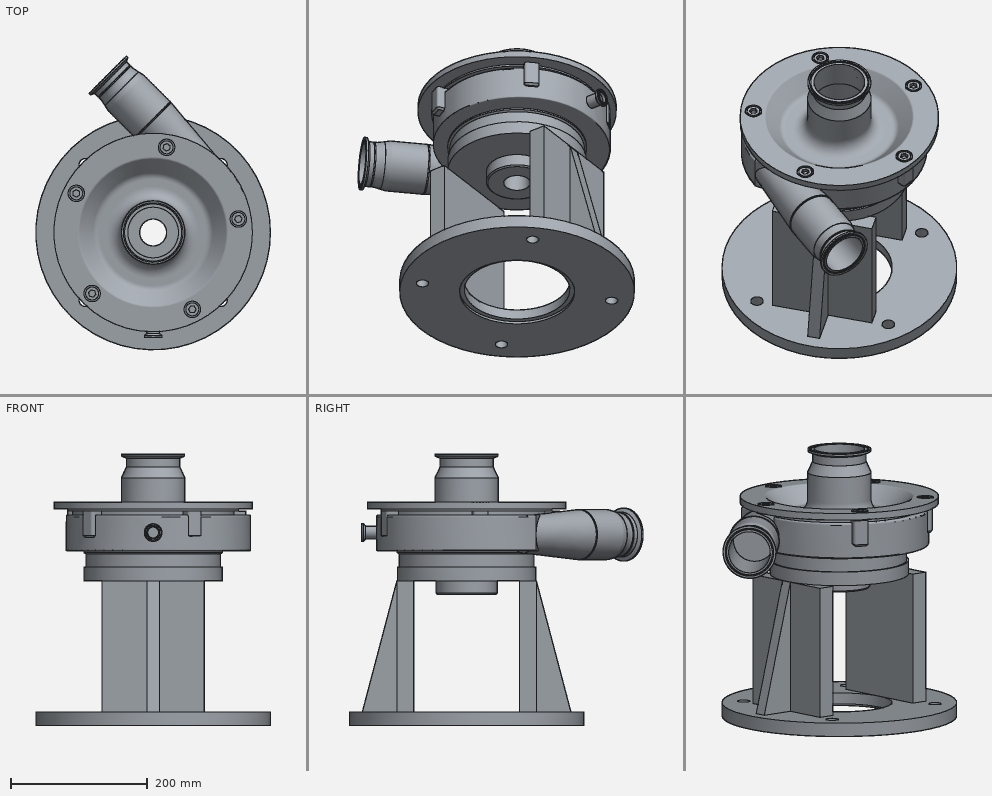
import cadquery as cq
import math

BASE_RADIUS = 171.5
BASE_THICKNESS = 20.0
BASE_OPENING_RADIUS = 77.0
BASE_RECESS_RADIUS = 84.0
BASE_RECESS_DEPTH = 4.0
BASE_HOLE_DIAMETER = 18.0
BASE_HOLE_CIRCLE_RADIUS = 140.0
BASE_HOLE_COUNT = 4

LEG_TOP_Z = 211.5
LEG_WIDTH = 150.0
LEG_INNER_Y = BASE_OPENING_RADIUS
LEG_OUTER_Y = 102.0
RIB_WIDTH = 18.0
RIB_FOOT_Y = 152.5

SUPPORT_RING_RADIUS = 101.3
SUPPORT_RING_HEIGHT = 20.0
HOUSING_RADIUS = 98.5
SHOULDER_RADIUS = 101.5
SHOULDER_HEIGHT = 2.5
SHOULDER_TAPER = 2.0
SEAL_HUB_RADIUS = 44.8
SEAL_HUB_DROP = 20.0
SEAL_HUB_CHAMFER = 2.0

VOLUTE_START = (90.0, 121.0)
VOLUTE_LEFT = (180.0, 127.0)
VOLUTE_BOTTOM = (270.0, 131.5)
VOLUTE_RIGHT = (345.0, 141.2)
VOLUTE_END = (405.0, 143.5)
CASING_BOTTOM_Z = 255.3
CASING_TOP_Z = 308.0
CASING_TOP_FILLET = 3.0
CASING_BOTTOM_FILLET = 1.5

COVER_RADIUS = 145.0
COVER_THICKNESS = 10.0
COVER_TOP_Z = 326.5
COVER_BOTTOM_Z = COVER_TOP_Z - COVER_THICKNESS
COVER_STEP_RADIUS = 125.0
COVER_STEP_THICKNESS = 3.0
COVER_STEP_Z = COVER_BOTTOM_Z - COVER_STEP_THICKNESS
COVER_SPIGOT_RADIUS = 118.0
DISH_RIM_RADIUS = 108.3
DISH_DEPTH = 25.0
DISH_RIM_FILLET = 4.0
DISH_FLOOR_FILLET = 12.0
HUB_ROOT_FILLET = 20.0

SCREW_COUNT = 5
SCREW_CIRCLE_RADIUS = 126.0
SCREW_START_ANGLE = 9.0
COUNTERBORE_DIAMETER = 24.0
SCREW_HEAD_DIAMETER = 19.0
SCREW_HEAD_RECESS = 3.0
HEX_SOCKET_ACROSS_CORNERS = 11.0
HEX_SOCKET_DEPTH = 5.0
LUG_WIDTH = 22.0
LUG_INNER_RADIUS = 110.0
LUG_OUTER_RADIUS = 136.0
LUG_BOTTOM_Z = 275.0
LUG_CORNER_FILLET = 4.0
LUG_BOTTOM_CHAMFER = 3.0

TOP_Z = 396.5
HUB_RADIUS = 46.5
HUB_TAPER_START_Z = 362.0
INLET_NECK_START_Z = 378.0
INLET_NECK_RADIUS = 39.0
INLET_BORE_RADIUS = 37.0
INLET_BORE_END_Z = 357.0
INLET_CHAMBER_RADIUS = 42.5
INLET_FLOOR_Z = 262.0
SHAFT_HOLE_RADIUS = 19.5
INLET_FERRULE_RADIUS = 46.0
INLET_GASKET_RADIUS = 42.6

OUTLET_Z = 279.0
OUTLET_AXIS_OFFSET = 116.1
OUTLET_LENGTH = 209.9
OUTLET_ANGLE = 135.0
OUTLET_ROOT_RADIUS = 27.0
OUTLET_PIPE_RADIUS = 36.8
OUTLET_PIPE_START = 115.0
OUTLET_PIPE_END = 172.0
OUTLET_NECK_START = 190.0
OUTLET_NECK_RADIUS = 33.0
OUTLET_GROOVE_WIDTH = 2.0
OUTLET_GROOVE_DEPTH = 0.5
OUTLET_GROOVES = [(115.5, OUTLET_PIPE_RADIUS), (181.0, 35.0), (195.0, OUTLET_NECK_RADIUS)]
OUTLET_BORE_RADIUS = 30.5
OUTLET_FERRULE_RADIUS = 38.8
OUTLET_GASKET_RADIUS = 34.5

PORT_Z = 282.0
PORT_END_Y = -153.5
PORT_NECK_RADIUS = 9.5
PORT_BORE_RADIUS = 8.0
PORT_FERRULE_RADIUS = 13.0
PORT_GASKET_RADIUS = 10.5
PORT_ROOT_Y = -120.0
PORT_LENGTH = PORT_ROOT_Y - PORT_END_Y

FERRULE_RIM = 3.0
FERRULE_CONE = 3.0
GASKET_GROOVE_WIDTH = 1.8
GASKET_GROOVE_DEPTH = 1.0


def disc(radius, bottom_z, top_z):
    """Upright cylinder between two heights."""
    return (
        cq.Workplane("XY", origin=(0, 0, bottom_z))
        .circle(radius)
        .extrude(top_z - bottom_z)
    )


def revolve_about_z(points):
    """Turn an (r, z) outline about the Z axis."""
    return cq.Workplane("XZ").polyline(points).close().revolve(360, (0, 0), (0, 1))


def ferrule_outline(neck_radius, rim_radius, end):
    """Outer (r, axial) points of a clamp ferrule whose rim face is at end."""
    cone_top = end - FERRULE_RIM
    return [
        (neck_radius, cone_top - FERRULE_CONE),
        (rim_radius, cone_top),
        (rim_radius, end),
        (0, end),
    ]


def gasket_groove(radius, end):
    """Ring cut into the rim face of a ferrule that ends at the given height."""
    bottom = end - GASKET_GROOVE_DEPTH
    outer = disc(radius + GASKET_GROOVE_WIDTH / 2, bottom, end)
    return outer.cut(disc(radius - GASKET_GROOVE_WIDTH / 2, bottom, end))


def make_base():
    base = disc(BASE_RADIUS, 0, BASE_THICKNESS)
    base = base.cut(disc(BASE_OPENING_RADIUS, 0, BASE_THICKNESS))
    base = base.cut(disc(BASE_RECESS_RADIUS, 0, BASE_RECESS_DEPTH))
    return (
        base.faces(">Z").workplane(origin=(0, 0, BASE_THICKNESS))
        .polarArray(BASE_HOLE_CIRCLE_RADIUS, 45, 360, BASE_HOLE_COUNT)
        .hole(BASE_HOLE_DIAMETER)
    )


def make_legs():
    plate = cq.Workplane("XY").box(
        LEG_WIDTH,
        LEG_OUTER_Y - LEG_INNER_Y,
        LEG_TOP_Z - BASE_THICKNESS,
        centered=(True, False, False),
    ).translate((0, LEG_INNER_Y, BASE_THICKNESS))
    rib = (
        cq.Workplane("YZ")
        .polyline([
            (LEG_OUTER_Y, BASE_THICKNESS),
            (RIB_FOOT_Y, BASE_THICKNESS),
            (LEG_OUTER_Y, LEG_TOP_Z),
        ])
        .close()
        .extrude(RIB_WIDTH / 2, both=True)
    )
    leg = plate.union(rib)
    return leg.union(leg.mirror("XZ"))


def make_housing():
    ring_top = LEG_TOP_Z + SUPPORT_RING_HEIGHT
    ring = disc(SUPPORT_RING_RADIUS, LEG_TOP_Z, ring_top)
    neck = disc(HOUSING_RADIUS, ring_top, CASING_BOTTOM_Z)
    shoulder_z = CASING_BOTTOM_Z - SHOULDER_HEIGHT
    shoulder = revolve_about_z([
        (0, shoulder_z - SHOULDER_TAPER),
        (HOUSING_RADIUS, shoulder_z - SHOULDER_TAPER),
        (SHOULDER_RADIUS, shoulder_z),
        (SHOULDER_RADIUS, CASING_BOTTOM_Z),
        (0, CASING_BOTTOM_Z),
    ])
    seal_hub = disc(SEAL_HUB_RADIUS, LEG_TOP_Z - SEAL_HUB_DROP, LEG_TOP_Z)
    seal_hub = seal_hub.faces("<Z").chamfer(SEAL_HUB_CHAMFER)
    return ring.union(neck).union(shoulder).union(seal_hub)


def polar_point(station):
    """Cartesian point of an (angle in degrees, radius) pair."""
    angle, radius = station
    return (radius * math.cos(math.radians(angle)), radius * math.sin(math.radians(angle)))


def make_casing():
    """Spiral casing, closed by a straight cut behind the outlet pipe."""
    casing = (
        cq.Workplane("XY", origin=(0, 0, CASING_BOTTOM_Z))
        .moveTo(*polar_point(VOLUTE_START))
        .threePointArc(polar_point(VOLUTE_LEFT), polar_point(VOLUTE_BOTTOM))
        .threePointArc(polar_point(VOLUTE_RIGHT), polar_point(VOLUTE_END))
        .close()
        .extrude(CASING_TOP_Z - CASING_BOTTOM_Z)
    )
    casing = casing.faces(">Z").edges().fillet(CASING_TOP_FILLET)
    return casing.faces("<Z").edges().fillet(CASING_BOTTOM_FILLET)


def make_cover():
    """Flat flange with a 45-degree dish sunk around the inlet hub."""
    flange = disc(COVER_RADIUS, COVER_BOTTOM_Z, COVER_TOP_Z)
    step = disc(COVER_STEP_RADIUS, COVER_STEP_Z, COVER_BOTTOM_Z)
    spigot = disc(COVER_SPIGOT_RADIUS, CASING_TOP_Z, COVER_STEP_Z)
    return flange.union(step).union(spigot)


def make_dish():
    """Ring-shaped volume removed from the cover, with rounded rim, floor and hub root."""
    floor_z = COVER_TOP_Z - DISH_DEPTH
    half_turn = math.tan(math.radians(22.5))
    diagonal = math.sqrt(0.5)
    rim_tangent = DISH_RIM_FILLET * half_turn
    floor_tangent = DISH_FLOOR_FILLET * half_turn
    floor_corner = DISH_RIM_RADIUS - DISH_DEPTH
    rim_outer = DISH_RIM_RADIUS + rim_tangent
    rim_center = (rim_outer, COVER_TOP_Z - DISH_RIM_FILLET)
    floor_inner = floor_corner - floor_tangent
    floor_center = (floor_inner, floor_z + DISH_FLOOR_FILLET)
    root_center = (HUB_RADIUS + HUB_ROOT_FILLET, floor_z + HUB_ROOT_FILLET)
    mid = math.radians(67.5)
    outline = (
        cq.Workplane("XZ")
        .moveTo(HUB_RADIUS, COVER_TOP_Z)
        .lineTo(rim_outer, COVER_TOP_Z)
        .threePointArc(
            (rim_center[0] - DISH_RIM_FILLET * math.cos(mid),
             rim_center[1] + DISH_RIM_FILLET * math.sin(mid)),
            (DISH_RIM_RADIUS - rim_tangent * diagonal, COVER_TOP_Z - rim_tangent * diagonal),
        )
        .lineTo(floor_corner + floor_tangent * diagonal, floor_z + floor_tangent * diagonal)
        .threePointArc(
            (floor_center[0] + DISH_FLOOR_FILLET * math.cos(mid),
             floor_center[1] - DISH_FLOOR_FILLET * math.sin(mid)),
            (floor_inner, floor_z),
        )
        .lineTo(root_center[0], floor_z)
        .threePointArc(
            (root_center[0] - HUB_ROOT_FILLET * diagonal,
             root_center[1] - HUB_ROOT_FILLET * diagonal),
            (HUB_RADIUS, root_center[1]),
        )
        .close()
    )
    return outline.revolve(360, (0, 0), (0, 1))


def make_lug():
    """Screw lug on the +X side, hanging from the cover step down the casing wall."""
    lug = cq.Workplane("XY").box(
        LUG_OUTER_RADIUS - LUG_INNER_RADIUS,
        LUG_WIDTH,
        COVER_STEP_Z - LUG_BOTTOM_Z,
        centered=(False, True, False),
    )
    lug = lug.edges("|Z and >X").fillet(LUG_CORNER_FILLET)
    lug = lug.faces("<Z").edges().chamfer(LUG_BOTTOM_CHAMFER)
    return lug.translate((LUG_INNER_RADIUS, 0, LUG_BOTTOM_Z))


def make_screw_recess():
    """Gap around a flush screw head plus its hexagon socket, on the +X side."""
    plane = cq.Workplane("XY", origin=(SCREW_CIRCLE_RADIUS, 0, COVER_TOP_Z))
    gap = (
        plane.circle(COUNTERBORE_DIAMETER / 2)
        .circle(SCREW_HEAD_DIAMETER / 2)
        .extrude(-SCREW_HEAD_RECESS)
    )
    socket = plane.polygon(6, HEX_SOCKET_ACROSS_CORNERS).extrude(-HEX_SOCKET_DEPTH)
    return gap.union(socket)


def at_each_screw(shape):
    """Repeat a shape built on the +X side at every screw position."""
    copies = cq.Workplane("XY")
    for i in range(SCREW_COUNT):
        angle = SCREW_START_ANGLE + i * 360 / SCREW_COUNT
        copies = copies.add(shape.rotate((0, 0, 0), (0, 0, 1), angle))
    return copies.combine()


def make_inlet():
    outline = [
        (0, CASING_BOTTOM_Z),
        (HUB_RADIUS, CASING_BOTTOM_Z),
        (HUB_RADIUS, HUB_TAPER_START_Z),
        (INLET_NECK_RADIUS, INLET_NECK_START_Z),
    ]
    outline += ferrule_outline(INLET_NECK_RADIUS, INLET_FERRULE_RADIUS, TOP_Z)
    inlet = revolve_about_z(outline)
    return inlet.cut(gasket_groove(INLET_GASKET_RADIUS, TOP_Z))


def make_inlet_bore():
    """Stepped passage: inlet bore, wider chamber, then the shaft hole out of the bottom."""
    shaft_hole = disc(SHAFT_HOLE_RADIUS, LEG_TOP_Z - SEAL_HUB_DROP, INLET_FLOOR_Z)
    chamber = disc(INLET_CHAMBER_RADIUS, INLET_FLOOR_Z, INLET_BORE_END_Z)
    bore = disc(INLET_BORE_RADIUS, INLET_BORE_END_Z, TOP_Z)
    return bore.union(chamber).union(shaft_hole)


def place_outlet(shape):
    """Move a shape built along +Z onto the tangential outlet axis."""
    axis_angle = math.radians(OUTLET_ANGLE)
    foot_angle = axis_angle - math.pi / 2
    foot_x = OUTLET_AXIS_OFFSET * math.cos(foot_angle)
    foot_y = OUTLET_AXIS_OFFSET * math.sin(foot_angle)
    return (
        shape.rotate((0, 0, 0), (0, 1, 0), 90)
        .rotate((0, 0, 0), (0, 0, 1), OUTLET_ANGLE)
        .translate((foot_x, foot_y, OUTLET_Z))
    )


def make_outlet():
    outline = [
        (0, 0),
        (OUTLET_ROOT_RADIUS, 0),
        (OUTLET_PIPE_RADIUS, OUTLET_PIPE_START),
        (OUTLET_PIPE_RADIUS, OUTLET_PIPE_END),
        (OUTLET_NECK_RADIUS, OUTLET_NECK_START),
    ]
    outline += ferrule_outline(OUTLET_NECK_RADIUS, OUTLET_FERRULE_RADIUS, OUTLET_LENGTH)
    outlet = revolve_about_z(outline)
    outlet = outlet.cut(gasket_groove(OUTLET_GASKET_RADIUS, OUTLET_LENGTH))
    for position, radius in OUTLET_GROOVES:
        groove_end = position + OUTLET_GROOVE_WIDTH
        ring = disc(OUTLET_FERRULE_RADIUS, position, groove_end)
        ring = ring.cut(disc(radius - OUTLET_GROOVE_DEPTH, position, groove_end))
        outlet = outlet.cut(ring)
    return place_outlet(outlet)


def make_outlet_bore():
    return place_outlet(disc(OUTLET_BORE_RADIUS, OUTLET_PIPE_START, OUTLET_LENGTH))


def place_port(shape):
    """Move a shape built along +Z onto the drain port axis, pointing to -Y."""
    return shape.rotate((0, 0, 0), (1, 0, 0), 90).translate((0, PORT_ROOT_Y, PORT_Z))


def make_port():
    outline = [(0, 0), (PORT_NECK_RADIUS, 0)]
    outline += ferrule_outline(PORT_NECK_RADIUS, PORT_FERRULE_RADIUS, PORT_LENGTH)
    port = revolve_about_z(outline)
    return place_port(port.cut(gasket_groove(PORT_GASKET_RADIUS, PORT_LENGTH)))


def make_port_bore():
    return place_port(disc(PORT_BORE_RADIUS, 0, PORT_LENGTH))


result = make_casing().union(make_cover()).union(at_each_screw(make_lug()))
result = result.union(make_outlet()).union(make_port())
result = result.cut(make_dish()).cut(at_each_screw(make_screw_recess()))
result = result.union(make_housing()).union(make_legs()).union(make_base())
result = result.union(make_inlet())
result = result.cut(make_inlet_bore()).cut(make_outlet_bore()).cut(make_port_bore())